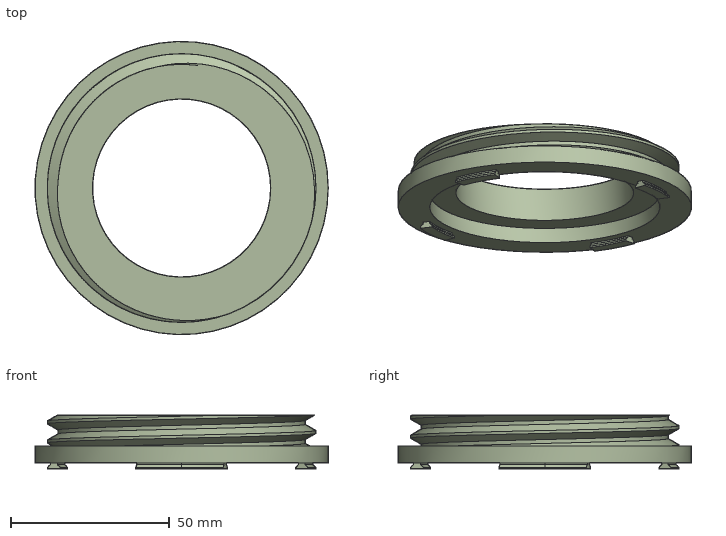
import cadquery as cq
import math

total_height = 16.95
flange_diameter = 92.4
flange_thickness = 5.35
bore_diameter = 56.0
recess_diameter = 72.5
web_thickness = 10.35

tab_height = 1.9
tab_count = 4
tab_sweep = 20.0
tab_outer_radius = 42.25
tab_inner_radius = 38.25
tab_undercut = 0.9
tab_lip_thickness = 0.5

thread_diameter = 84.62
thread_pitch = 6.0
thread_flank_angle = 30.0
thread_root_radius = 38.95
thread_crest_width = 0.9
crest_below_top = 2.3
root_overlap = 0.5

flange_bottom = tab_height
flange_top = flange_bottom + flange_thickness
collar_height = total_height - flange_top


def ring(outer_diameter, bottom, height):
    """Ring around the Z axis with the common bore."""
    return (
        cq.Workplane("XY")
        .workplane(offset=bottom)
        .circle(outer_diameter / 2)
        .circle(bore_diameter / 2)
        .extrude(height)
    )


def thread_ridge():
    """Helical ridge, longer than the collar; its profile lies at -X."""
    crest_radius = thread_diameter / 2
    base_radius = thread_root_radius - root_overlap
    half_crest = thread_crest_width / 2
    half_base = half_crest + (crest_radius - base_radius) * math.tan(math.radians(thread_flank_angle))
    turns = math.ceil(collar_height / thread_pitch) + 1
    start_height = total_height - crest_below_top - (turns - 1) * thread_pitch
    path = cq.Wire.makeHelix(thread_pitch, turns * thread_pitch, base_radius)
    ridge = (
        cq.Workplane("XZ")
        .moveTo(base_radius, -half_base)
        .lineTo(crest_radius, -half_crest)
        .lineTo(crest_radius, half_crest)
        .lineTo(base_radius, half_base)
        .close()
        .sweep(cq.Workplane(obj=path), isFrenet=True)
    )
    return ridge.rotate((0, 0, 0), (0, 0, 1), 180).translate((0, 0, start_height))


def threaded_collar():
    """Collar core with the ridge trimmed to the collar height."""
    core = ring(2 * thread_root_radius, flange_top, collar_height)
    envelope = ring(flange_diameter, flange_top, collar_height)
    return core.union(thread_ridge().intersect(envelope))


def recess():
    """Wide recess from below, leaving a web around the bore at the top."""
    return (
        cq.Workplane("XY")
        .workplane(offset=flange_bottom)
        .circle(recess_diameter / 2)
        .extrude(total_height - web_thickness - flange_bottom)
    )


def bayonet_tab():
    """Tab with a lip undercut at 45 degrees on both sides, from +X clockwise."""
    lip_top = tab_lip_thickness
    neck_bottom = lip_top + tab_undercut
    neck_inner = tab_inner_radius + tab_undercut
    neck_outer = tab_outer_radius - tab_undercut
    return (
        cq.Workplane("XZ")
        .moveTo(tab_inner_radius, 0)
        .lineTo(tab_outer_radius, 0)
        .lineTo(tab_outer_radius, lip_top)
        .lineTo(neck_outer, neck_bottom)
        .lineTo(neck_outer, flange_bottom)
        .lineTo(neck_inner, flange_bottom)
        .lineTo(neck_inner, neck_bottom)
        .lineTo(tab_inner_radius, lip_top)
        .close()
        .revolve(tab_sweep, (0, 0, 0), (0, -1, 0))
    )


result = ring(flange_diameter, flange_bottom, flange_thickness).union(threaded_collar()).cut(recess())
for index in range(tab_count):
    angle = index * 360 / tab_count
    result = result.union(bayonet_tab().rotate((0, 0, 0), (0, 0, 1), angle))